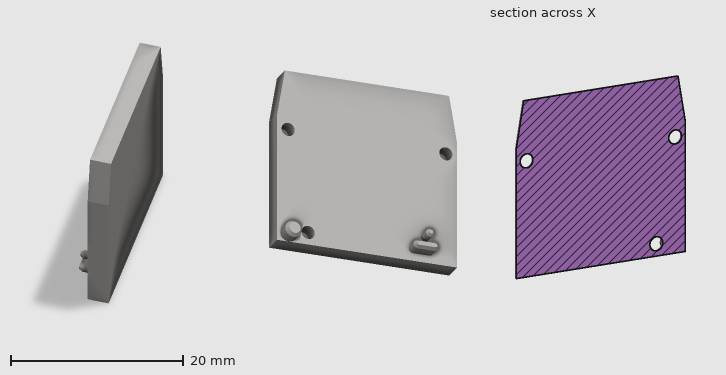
import cadquery as cq

plate_width = 22.5
plate_height = 21.5
overall_thickness = 4.55
pin_length = 2.0
plate_thickness = overall_thickness - pin_length
knee_height = 15.75
top_inset = 1.0

socket_diameter = 1.65
socket_depth = pin_length
upper_socket_y = 9.85
upper_socket_z = 14.13
socket_centres = [
    (upper_socket_y, upper_socket_z),
    (-upper_socket_y, upper_socket_z),
    (7.35, 1.53),
]

tip_length = 0.5
large_pin_diameter = 2.0
large_pin_y = 9.79
large_pin_z = large_pin_diameter / 2
large_tip_inset = 0.32
small_pin_diameter = 1.0
small_pin_y = -7.25
small_pin_z = 3.13
small_tip_length = 0.43
small_tip_inset = 0.27

key_length = 3.04
key_height = 1.04
key_y = -6.75
key_z = 1.48
key_tip_inset = 0.27


def face_plane(y, z):
    """Plane on the pin face: local x along -Y, local y along +Z, normal outward."""
    return cq.Workplane(cq.Plane(origin=(0, y, z), xDir=(0, -1, 0), normal=(-1, 0, 0)))


def make_plate():
    half_width = plate_width / 2
    half_top = half_width - top_inset
    outline = [
        (-half_width, 0),
        (half_width, 0),
        (half_width, knee_height),
        (half_top, plate_height),
        (-half_top, plate_height),
        (-half_width, knee_height),
    ]
    return cq.Workplane("YZ").polyline(outline).close().extrude(plate_thickness)


def make_sockets():
    return cq.Workplane("YZ").pushPoints(socket_centres).circle(socket_diameter / 2).extrude(socket_depth)


def make_pin(y, z, diameter, taper_length, taper_inset):
    pin = face_plane(y, z).circle(diameter / 2).extrude(pin_length)
    return pin.faces("<X").edges().chamfer(taper_length, taper_inset)


def make_key():
    straight_length = pin_length - tip_length
    base = face_plane(key_y, key_z).slot2D(key_length, key_height).extrude(straight_length)
    tip = (
        face_plane(key_y, key_z)
        .workplane(offset=straight_length)
        .slot2D(key_length, key_height)
        .workplane(offset=tip_length)
        .slot2D(key_length - 2 * key_tip_inset, key_height - 2 * key_tip_inset)
        .loft(ruled=True)
    )
    return base.union(tip)


large_pin = make_pin(large_pin_y, large_pin_z, large_pin_diameter, tip_length, large_tip_inset)
small_pin = make_pin(small_pin_y, small_pin_z, small_pin_diameter, small_tip_length, small_tip_inset)

result = make_plate().cut(make_sockets()).union(large_pin).union(small_pin).union(make_key())